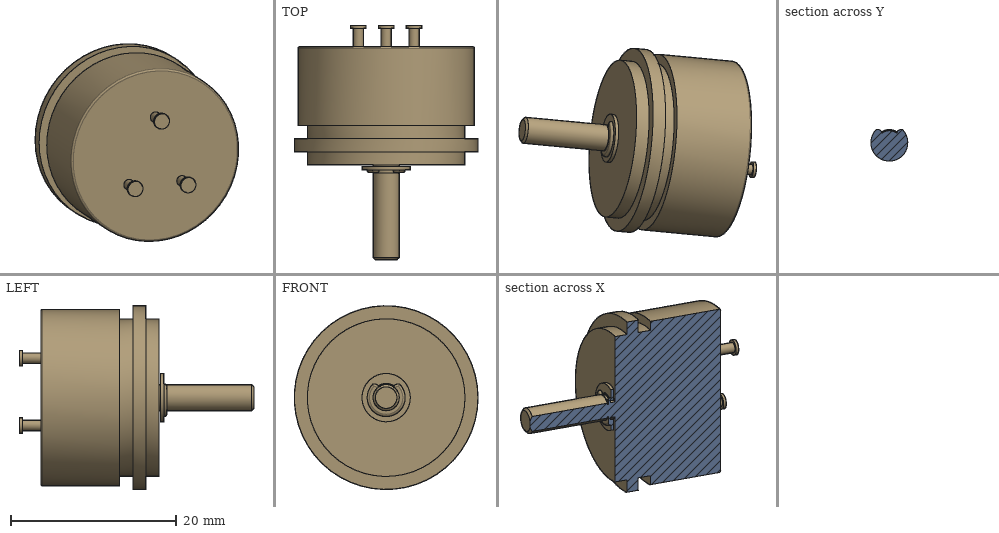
import cadquery as cq
import math


flange_diameter = 22.25
pilot_diameter = 19.06
body_diameter = 21.35
step_length = 1.6
body_length = 9.53
body_edge_radius = 0.23

shaft_diameter = 3.18
shaft_chamfer = 0.28

washer_diameter = 5.85
washer_bore = 3.43
washer_gap = 0.17
washer_thickness = 0.43

groove_diameter = 2.95
groove_clearance = 0.05

clip_outer_radius = 2.3
clip_thickness = 0.35
clip_edge_radius = 0.28
clip_tip_angle = 135.0
clip_tip_bulge = 0.35
clip_inner_radius = groove_diameter / 2 - clip_edge_radius

pin_diameter = 1.28
pin_length = 2.58
pin_head_diameter = 1.9
pin_head_thickness = 0.37
pin_circle_radius = 4.77
pin_angles = (90.0, -45.0, -135.0)

overall_length = 28.37
body_front = 3 * step_length
body_rear = body_front + body_length
pin_end = body_rear + pin_length
shaft_end = pin_end - overall_length
washer_front = -washer_gap - washer_thickness
clip_front = washer_front - clip_thickness


def disc(diameter, y_start, y_end, x=0.0, z=0.0):
    """Cylinder along Y between two Y positions, centred at (x, z)."""
    plane = cq.Workplane("XZ", origin=(x, y_end, z))
    return plane.circle(diameter / 2).extrude(y_end - y_start)


def polar(radius, angle):
    """(x, z) point at an angle in degrees measured from +X towards +Z."""
    return (radius * math.cos(math.radians(angle)), radius * math.sin(math.radians(angle)))


def make_housing():
    body = disc(body_diameter, body_front, body_rear)
    body = body.faces(">Y").edges().fillet(body_edge_radius)
    neck_and_pilot = disc(pilot_diameter, 0, body_front)
    flange = disc(flange_diameter, step_length, 2 * step_length)
    return body.union(neck_and_pilot).union(flange)


def make_shaft():
    shaft = disc(shaft_diameter, shaft_end, 0)
    shaft = shaft.faces("<Y").edges().chamfer(shaft_chamfer)
    groove_front = clip_front - groove_clearance
    groove = disc(shaft_diameter, groove_front, washer_front)
    groove = groove.cut(disc(groove_diameter, groove_front, washer_front))
    return shaft.cut(groove)


def make_washer():
    washer = disc(washer_diameter, washer_front, -washer_gap)
    return washer.cut(disc(washer_bore, washer_front, -washer_gap))


def make_clip():
    """C-shaped ring with bulging tips, open towards +Z, its front edge rounded."""
    left_outer = polar(clip_outer_radius, clip_tip_angle)
    left_inner = polar(clip_inner_radius, clip_tip_angle)
    middle_x, middle_z = polar((clip_outer_radius + clip_inner_radius) / 2, clip_tip_angle)
    bulge_x, bulge_z = polar(clip_tip_bulge, clip_tip_angle - 90)
    left_tip = (middle_x + bulge_x, middle_z + bulge_z)
    right_outer, right_inner, right_tip = [
        (-x, z) for x, z in (left_outer, left_inner, left_tip)
    ]
    clip = (
        cq.Workplane("XZ", origin=(0, washer_front, 0))
        .moveTo(*left_outer)
        .threePointArc((0, -clip_outer_radius), right_outer)
        .threePointArc(right_tip, right_inner)
        .threePointArc((0, -clip_inner_radius), left_inner)
        .threePointArc(left_tip, left_outer)
        .close()
        .extrude(clip_thickness)
    )
    return clip.faces("<Y").edges().fillet(clip_edge_radius)


def make_pin(angle):
    x, z = polar(pin_circle_radius, angle)
    stem = disc(pin_diameter, body_rear, pin_end, x, z)
    head = disc(pin_head_diameter, pin_end - pin_head_thickness, pin_end, x, z)
    return stem.union(head)


result = make_housing().union(make_shaft()).union(make_washer()).union(make_clip())
for pin_angle in pin_angles:
    result = result.union(make_pin(pin_angle))